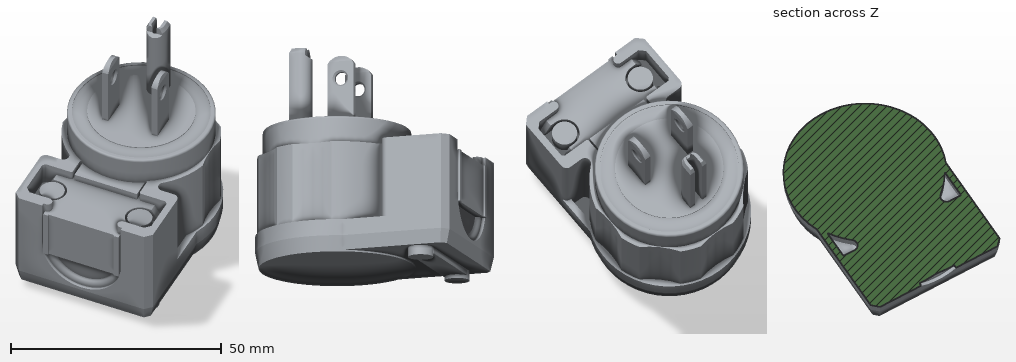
import cadquery as cq
import math

TOTAL_HEIGHT = 55.85
LABEL_BOTTOM_Z = 0.9
COVER_BOTTOM_Z = 1.9
BOX_BOTTOM_Z = 2.3
TAPER_TOP_Z = 5.65
LEDGE_Z = 9.55
INSERT_TOP_Z = 26.35
PANEL_TOP_Z = 28.15
BODY_TOP_Z = 28.65
FACE_TOP_Z = 35.1

COVER_RADIUS = 19.45
TAPER_ANGLE = 12.6
BODY_RADIUS = 18.9
SCALLOP_DEPTH_RADIUS = 17.75
SCALLOP_RADIUS = 22.9
SCALLOP_ANGLES = (0, 45, 90, 135, 180)
FACE_RADIUS = 35.3 / 2
FACE_EDGE = 0.5
FACE_RIM_RADIUS = 16.45
FACE_CENTER_RADIUS = 25.75 / 2
FACE_RING_DEPTH = 0.2

BOX_HALF_WIDTH = 17.9
BOX_FRONT_Y = -33.7
BOX_BACK_Y = -17.0
BOX_CHAMFER = 1.6
SIDE_WALL = 1.7
INNER_HALF_WIDTH = BOX_HALF_WIDTH - SIDE_WALL
BACK_CORNER_RADIUS = 1.55
NOTCH_RADIUS = 1.45

RECESS_BACK_Y = -20.1
RECESS_FRONT_Y = -30.7
RECESS_BACK_CHAMFER = 0.6
RECESS_FRONT_CHAMFER = 1.3
INSERT_GAP = 0.45
PANEL_HALF_WIDTH = 8.15
PANEL_GROOVE = 0.6
GROOVE_MOUTH_RADIUS = 0.45

OPENING_CENTER_Z = 16.7
STEP_RADIUS = 10.3
STEP_DEPTH = 0.8
OPENING_RADIUS = 8.6
STEP_Y = BOX_FRONT_Y + STEP_DEPTH
LIP_RADIUS = (RECESS_FRONT_Y - STEP_Y) / 2
OPENING_FLOOR_Y = STEP_Y + LIP_RADIUS
PLATE_BOTTOM_Z = 13.9
PLATE_HALF_WIDTH = STEP_RADIUS - INSERT_GAP
RIB_WIDTH = 1.3
RIB_HEIGHT = 0.4

POST_X = 11.45
POST_Y = -25.5
POST_DIAMETER = 6.0
POST_CLEARANCE_DIAMETER = 7.1
POST_POCKET_DEPTH = 3.35
ARM_TOP_X = 12.85
ARM_FOOT_X = 14.9
ARM_CORNER_RADIUS = 0.65
FOOT_X = 13.35
FOOT_DIAMETER = 6.0
LABEL_HALF_WIDTH = 12.2
LABEL_DEPTH = 5.8

BLADE_X = 6.4
BLADE_Y = -3.3
BLADE_THICKNESS = 1.55
BLADE_WIDTH = 6.5
BLADE_TOP_Z = 51.9
BLADE_SHOULDER_Z = 50.0
BLADE_BEVEL_Z = 50.6
BLADE_TIP_THICKNESS = 1.1
BLADE_HOLE_Z = 46.45
BLADE_HOLE_DIAMETER = 3.05
BLADE_HOLE_SINK = 3.9

PIN_CENTER_Y = 8.75
PIN_BACK_Y = 11.2
PIN_RADIUS = 2.45
PIN_BORE_RADIUS = 1.1
PIN_BORE_CENTER_Y = 8.4
PIN_TIP_WIDTH = 0.55
PIN_TIP_HEIGHT = 1.25
PIN_NOTCH_Y = 7.35
PIN_NOTCH_Z = 54.0
PIN_NOTCH_LOW_Z = 53.3


def block(x_range, y_range, z_range):
    """Axis-aligned box between the given limits."""
    sizes = [high - low for low, high in (x_range, y_range, z_range)]
    corner = (x_range[0], y_range[0], z_range[0])
    return cq.Workplane("XY").box(*sizes, centered=False).translate(corner)


def cylinder(radius, x, y, z_low, z_high):
    """Upright cylinder."""
    return cq.Workplane("XY", origin=(x, y, z_low)).circle(radius).extrude(z_high - z_low)


def box_prism(back_y, z_low, z_high):
    """Prism of the cable box with its two front corners chamfered."""
    prism = block((-BOX_HALF_WIDTH, BOX_HALF_WIDTH), (BOX_FRONT_Y, back_y), (z_low, z_high))
    return prism.edges("|Z and <Y").chamfer(BOX_CHAMFER)


def tapered_down(workplane_outline, height):
    """Extrude an outline downward while its sides lean inward."""
    return workplane_outline.extrude(-height, taper=TAPER_ANGLE)


def make_cover():
    """Low round and square cover with a tapered bottom and two side pockets."""
    round_part = cylinder(COVER_RADIUS, 0, 0, TAPER_TOP_Z, LEDGE_Z)
    round_outline = cq.Workplane("XY", origin=(0, 0, TAPER_TOP_Z)).circle(COVER_RADIUS)
    round_part = round_part.union(tapered_down(round_outline, TAPER_TOP_Z - COVER_BOTTOM_Z))

    square_part = box_prism(0, TAPER_TOP_Z, LEDGE_Z)
    square_outline = square_part.faces("<Z").wires().toPending().workplane(invert=True)
    square_bottom = tapered_down(square_outline, TAPER_TOP_Z - BOX_BOTTOM_Z)
    cover = round_part.union(square_part).union(square_bottom)

    pocket = block((-INNER_HALF_WIDTH, INNER_HALF_WIDTH), (BOX_BACK_Y, 0), (TAPER_TOP_Z, LEDGE_Z))
    return cover.cut(pocket)


def make_body():
    """Scalloped round body joined to the upper cable box."""
    body = cylinder(BODY_RADIUS, 0, 0, TAPER_TOP_Z, BODY_TOP_Z)
    scallop_distance = SCALLOP_DEPTH_RADIUS + SCALLOP_RADIUS
    for angle in SCALLOP_ANGLES:
        x = scallop_distance * math.cos(math.radians(angle))
        y = scallop_distance * math.sin(math.radians(angle))
        body = body.cut(cylinder(SCALLOP_RADIUS, x, y, TAPER_TOP_Z, BODY_TOP_Z))

    box = box_prism(BOX_BACK_Y, TAPER_TOP_Z, BODY_TOP_Z)
    box = box.edges("|Z and >Y").fillet(BACK_CORNER_RADIUS)
    body = body.union(box)

    meeting_x = math.sqrt(BODY_RADIUS**2 - BOX_BACK_Y**2)
    for x in (-meeting_x, meeting_x):
        inner_corner = cq.selectors.BoxSelector(
            (x - 0.55, BOX_BACK_Y - 0.55, TAPER_TOP_Z), (x + 0.55, BOX_BACK_Y + 0.55, BODY_TOP_Z)
        )
        body = body.edges(inner_corner).edges("|Z").fillet(NOTCH_RADIUS)
    return body


def cut_recess(body):
    """Open the top of the box and leave the lower panel behind the recess."""
    depth_range = (INSERT_TOP_Z, BODY_TOP_Z)
    recess = block((-INNER_HALF_WIDTH, INNER_HALF_WIDTH), (RECESS_FRONT_Y, RECESS_BACK_Y), depth_range)
    recess = recess.edges("|Z and >Y").chamfer(RECESS_BACK_CHAMFER)
    recess = recess.edges("|Z and <Y").chamfer(RECESS_FRONT_CHAMFER)
    body = body.cut(recess)

    groove_half_width = PANEL_HALF_WIDTH + PANEL_GROOVE
    panel_y_range = (RECESS_BACK_Y, BOX_BACK_Y + NOTCH_RADIUS)
    body = body.cut(block((-groove_half_width, groove_half_width), panel_y_range, depth_range))
    for x in (-groove_half_width, groove_half_width):
        groove_mouth = cq.selectors.BoxSelector(
            (x - 0.05, RECESS_BACK_Y - 0.05, INSERT_TOP_Z), (x + 0.05, RECESS_BACK_Y + 0.05, BODY_TOP_Z)
        )
        body = body.edges(groove_mouth).edges("|Z").fillet(GROOVE_MOUTH_RADIUS)
    panel = block((-PANEL_HALF_WIDTH, PANEL_HALF_WIDTH), panel_y_range, (INSERT_TOP_Z, PANEL_TOP_Z))
    return body.union(panel)


def lip_profile(z):
    """Right half of the opening in plan, from its center line to the narrowest point of the lip."""
    return (
        cq.Workplane("XY", origin=(0, 0, z))
        .moveTo(0, STEP_Y)
        .lineTo(OPENING_RADIUS + LIP_RADIUS, STEP_Y)
        .radiusArc((OPENING_RADIUS, OPENING_FLOOR_Y), LIP_RADIUS)
    )


def cut_cable_opening(body):
    """Stepped, round-bottomed opening in the front wall with a rounded lip."""
    step = cq.Workplane("XZ", origin=(0, STEP_Y, OPENING_CENTER_Z)).circle(STEP_RADIUS).extrude(STEP_DEPTH)
    step = step.union(
        block((-STEP_RADIUS, STEP_RADIUS), (BOX_FRONT_Y, STEP_Y), (OPENING_CENTER_Z, BODY_TOP_Z))
    )

    round_bottom = lip_profile(OPENING_CENTER_Z).lineTo(0, OPENING_FLOOR_Y).close()
    round_bottom = round_bottom.revolve(360, (0, 0), (0, 1))
    slot = lip_profile(OPENING_CENTER_Z).lineTo(0, OPENING_FLOOR_Y).close()
    slot = slot.extrude(BODY_TOP_Z - OPENING_CENTER_Z)

    passage = (
        lip_profile(INSERT_TOP_Z)
        .radiusArc((OPENING_RADIUS + LIP_RADIUS, RECESS_FRONT_Y), LIP_RADIUS)
        .lineTo(0, RECESS_FRONT_Y)
        .close()
        .extrude(BODY_TOP_Z - INSERT_TOP_Z)
    )
    cutter = step.union(round_bottom)
    for half in (slot, passage):
        cutter = cutter.union(half).union(half.mirror("YZ"))
    return body.cut(cutter)


def make_plate():
    """Flat plate in the cable opening with a raised rib along each side."""
    z_range = (PLATE_BOTTOM_Z, INSERT_TOP_Z)
    plate = block((-PLATE_HALF_WIDTH, PLATE_HALF_WIDTH), (BOX_FRONT_Y, OPENING_FLOOR_Y), z_range)
    rib_y_range = (BOX_FRONT_Y - RIB_HEIGHT, BOX_FRONT_Y)
    for x in (-PLATE_HALF_WIDTH, PLATE_HALF_WIDTH - RIB_WIDTH):
        plate = plate.union(block((x, x + RIB_WIDTH), rib_y_range, z_range))
    return plate


def make_post_pocket():
    """Pocket in the insert around the +X post, with two sloped arms reaching in toward the wall."""
    floor_z = INSERT_TOP_Z - POST_POCKET_DEPTH
    z_range = (floor_z, INSERT_TOP_Z)
    recess_y_range = (RECESS_FRONT_Y, RECESS_BACK_Y)
    clearance = POST_CLEARANCE_DIAMETER / 2

    pocket = block((POST_X, INNER_HALF_WIDTH), recess_y_range, z_range)
    pocket = pocket.edges("|Z and >X and >Y").chamfer(RECESS_BACK_CHAMFER)
    pocket = pocket.edges("|Z and >X and <Y").chamfer(RECESS_FRONT_CHAMFER)

    slope = (
        cq.Workplane("XZ", origin=(0, RECESS_BACK_Y, 0))
        .moveTo(POST_X, INSERT_TOP_Z)
        .lineTo(ARM_TOP_X, INSERT_TOP_Z)
        .lineTo(ARM_FOOT_X, floor_z)
        .lineTo(POST_X, floor_z)
        .close()
        .extrude(RECESS_BACK_Y - RECESS_FRONT_Y)
    )
    for y_range in (
        (POST_Y + clearance, RECESS_BACK_Y),
        (RECESS_FRONT_Y, POST_Y - clearance),
    ):
        arm = block((POST_X, ARM_FOOT_X), y_range, z_range).edges("|Z and >X").fillet(ARM_CORNER_RADIUS)
        pocket = pocket.cut(arm.intersect(slope))

    post = cylinder(POST_DIAMETER / 2, POST_X, POST_Y, *z_range)
    return pocket.union(cylinder(clearance, POST_X, POST_Y, *z_range)).cut(post)


def make_face():
    """Face disc with a shallow ring around its center."""
    face = cylinder(FACE_RADIUS, 0, 0, INSERT_TOP_Z, FACE_TOP_Z).faces(">Z").edges().fillet(FACE_EDGE)
    ring = cq.Workplane("XY", origin=(0, 0, FACE_TOP_Z)).circle(FACE_RIM_RADIUS).circle(FACE_CENTER_RADIUS)
    return face.cut(ring.extrude(-FACE_RING_DEPTH))


def make_blade():
    """Flat blade at +X with a crowned, beveled tip and a countersunk hole."""
    half_thickness = BLADE_THICKNESS / 2
    half_width = BLADE_WIDTH / 2
    blade = (
        cq.Workplane("YZ", origin=(-half_thickness, 0, 0))
        .moveTo(-half_width, BODY_TOP_Z)
        .lineTo(-half_width, BLADE_SHOULDER_Z)
        .threePointArc((0, BLADE_TOP_Z), (half_width, BLADE_SHOULDER_Z))
        .lineTo(half_width, BODY_TOP_Z)
        .close()
        .extrude(BLADE_THICKNESS)
    )
    side_profile = (
        cq.Workplane("XZ", origin=(0, half_width, 0))
        .moveTo(-half_thickness, BODY_TOP_Z)
        .lineTo(-half_thickness, BLADE_BEVEL_Z)
        .lineTo(-BLADE_TIP_THICKNESS / 2, BLADE_TOP_Z)
        .lineTo(BLADE_TIP_THICKNESS / 2, BLADE_TOP_Z)
        .lineTo(half_thickness, BLADE_BEVEL_Z)
        .lineTo(half_thickness, BODY_TOP_Z)
        .close()
        .extrude(BLADE_WIDTH)
    )
    hole = (
        cq.Workplane("YZ", origin=(-half_thickness, 0, BLADE_HOLE_Z))
        .circle(BLADE_HOLE_DIAMETER / 2)
        .extrude(BLADE_THICKNESS)
    )
    blade = blade.intersect(side_profile).cut(hole)
    sink = (BLADE_HOLE_SINK - BLADE_HOLE_DIAMETER) / 2
    blade = blade.edges("%CIRCLE").edges(cq.selectors.RadiusNthSelector(0)).chamfer(sink)
    return blade.translate((BLADE_X, BLADE_Y, 0))


def u_outline(radius, center_y, z):
    """Outline with straight sides and a rounded end toward -Y."""
    return (
        cq.Workplane("XY", origin=(0, 0, z))
        .moveTo(-radius, PIN_BACK_Y)
        .lineTo(-radius, center_y)
        .threePointArc((0, center_y - radius), (radius, center_y))
        .lineTo(radius, PIN_BACK_Y)
        .close()
    )


def make_ground_pin():
    """U-shaped pin, open toward +Y, whose rounded front is cut short at the tip."""
    pin = u_outline(PIN_RADIUS, PIN_CENTER_Y, BODY_TOP_Z).extrude(TOTAL_HEIGHT - BODY_TOP_Z)
    pin = pin.faces(">Z").chamfer(PIN_TIP_HEIGHT, PIN_TIP_WIDTH)
    bore = u_outline(PIN_BORE_RADIUS, PIN_BORE_CENTER_Y, FACE_TOP_Z).extrude(TOTAL_HEIGHT - FACE_TOP_Z)
    front_y = PIN_CENTER_Y - PIN_RADIUS
    notch = (
        cq.Workplane("YZ", origin=(-PIN_RADIUS, 0, 0))
        .moveTo(PIN_NOTCH_Y, TOTAL_HEIGHT)
        .lineTo(PIN_NOTCH_Y, PIN_NOTCH_Z)
        .lineTo(front_y, PIN_NOTCH_LOW_Z)
        .lineTo(front_y, TOTAL_HEIGHT)
        .close()
        .extrude(2 * PIN_RADIUS)
    )
    return pin.cut(bore).cut(notch)


def make_feet():
    """Two round feet with a label bar between them."""
    label_y_range = (POST_Y - LABEL_DEPTH / 2, POST_Y + LABEL_DEPTH / 2)
    feet = block((-LABEL_HALF_WIDTH, LABEL_HALF_WIDTH), label_y_range, (LABEL_BOTTOM_Z, TAPER_TOP_Z))
    for x in (-FOOT_X, FOOT_X):
        feet = feet.union(cylinder(FOOT_DIAMETER / 2, x, POST_Y, 0, TAPER_TOP_Z))
    return feet


shell = make_cover().union(cut_recess(make_body()))
shell = cut_cable_opening(shell)
shell = shell.union(make_plate())
post_pocket = make_post_pocket()
shell = shell.cut(post_pocket).cut(post_pocket.mirror("YZ"))

blade = make_blade()
result = shell.union(make_face())
for piece in (blade, blade.mirror("YZ"), make_ground_pin(), make_feet()):
    result = result.union(piece)